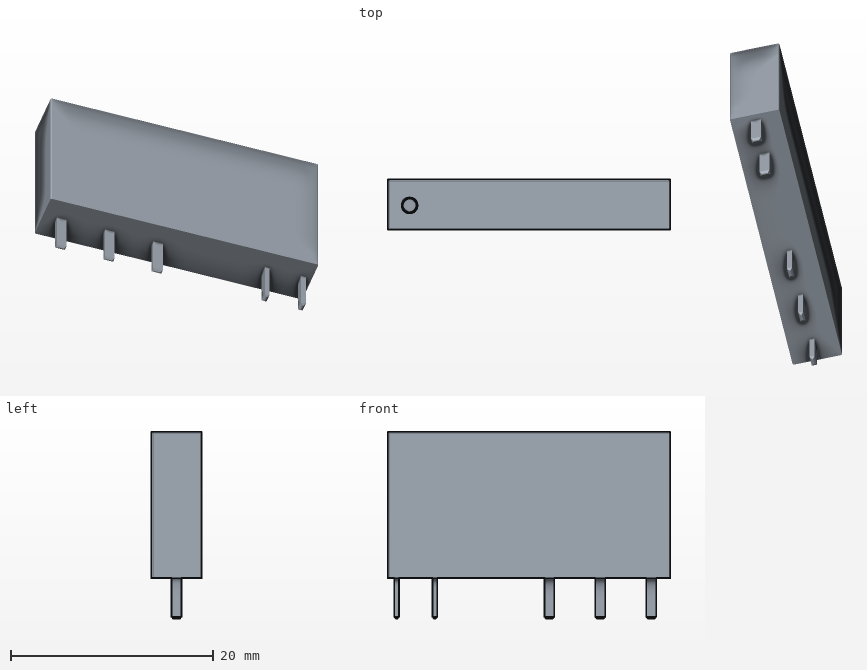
import cadquery as cq

body_length = 28.0
body_width = 5.0
body_height = 14.5
edge_radius = 0.15

pin_length = 4.0
pin_broad_side = 1.0
pin_narrow_side = 0.5
tip_chamfer = 0.2

first_pin_inset = 0.9
coil_pin_pitch = 3.78
coil_to_contact_gap = 11.35
contact_pin_pitch = 5.05
contact_pin_count = 3

indicator_inset = 2.18
indicator_y = -0.08
indicator_diameter = 1.57
indicator_depth = 0.08
indicator_wall_slope = 0.1

body_left = -body_length / 2
first_coil_x = body_left + first_pin_inset
second_coil_x = first_coil_x + coil_pin_pitch
first_contact_x = second_coil_x + coil_to_contact_gap


def make_housing():
    """Box with rounded vertical and top edges and a sharp bottom rim."""
    box = cq.Workplane("XY").box(body_length, body_width, body_height, centered=(True, True, False))
    return box.edges("|Z or >Z").fillet(edge_radius)


def make_pin(center_x, size_x, size_y):
    """Rectangular pin below the housing, chamfered all round its tip."""
    pin = cq.Workplane("XY").center(center_x, 0).rect(size_x, size_y).extrude(-pin_length)
    return pin.faces("<Z").chamfer(tip_chamfer)


def make_indicator_recess():
    """Cone frustum that narrows downward from the top face."""
    top_radius = indicator_diameter / 2
    floor_radius = top_radius - indicator_wall_slope
    indicator_x = body_left + indicator_inset
    floor = cq.Workplane("XY", origin=(indicator_x, indicator_y, body_height - indicator_depth))
    return floor.circle(floor_radius).workplane(offset=indicator_depth).circle(top_radius).loft()


result = make_housing().cut(make_indicator_recess())

for coil_x in (first_coil_x, second_coil_x):
    result = result.union(make_pin(coil_x, pin_narrow_side, pin_broad_side))

for index in range(contact_pin_count):
    contact_x = first_contact_x + index * contact_pin_pitch
    result = result.union(make_pin(contact_x, pin_broad_side, pin_narrow_side))